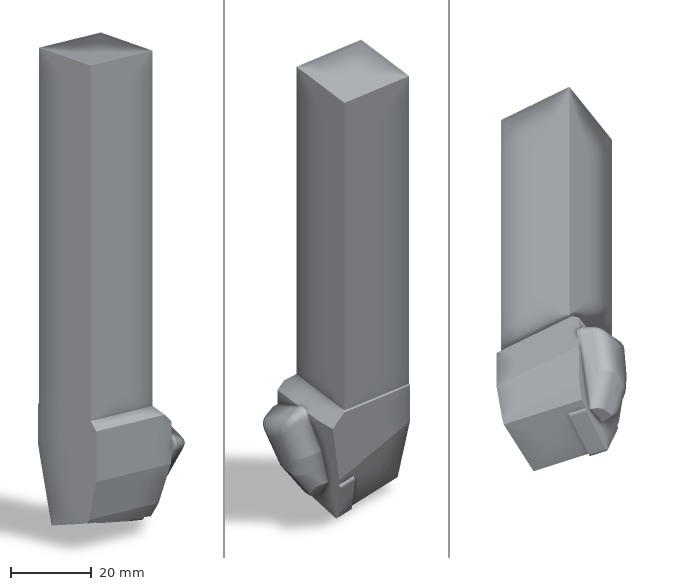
import cadquery as cq
import math


shank_size = 20.0
tool_top_z = 126.35
head_left_x = -0.35
head_right_x = 22.2
head_bottom_z = -2.0
shoulder_z = 34.05
crest_y = 24.25

side_angle = 15.0
side_start_z = 18.7
side_end_z = 8.2
bevel_end_x = 17.06
bevel_end_z = 4.15

lead_angle = 15.0
rake_angle = 6.0
corner_x = 2.80
corner_y = 20.22
corner_z = -0.18

insert_size = 12.7
insert_thickness = 4.76
insert_corner_radius = 0.8
insert_overhang = 0.7

clamp_height = 6.6
clamp_band = 0.5
clamp_foot_depth = 2.0
clamp_draft = 16.0
clamp_corner_radius = 2.58
clamp_rim_radius = 4.2
clamp_back_left = (10.1, 31.3)
clamp_back_right = (24.2, 24.5)
clamp_nose_right = (13.2, 4.7)
clamp_nose_middle = (7.3, 5.8)
clamp_nose_left = (4.3, 10.9)
clamp_side_left = (5.5, 20.2)
nose_slope_y = 29.3
nose_slope_z = 13.6
nose_slope_angle = 31.0
nose_overrun_z = 2.5

cutter_size = 60.0

rake_slope = math.tan(math.radians(rake_angle))
lead = math.radians(lead_angle)
slope_x = rake_slope * (math.cos(lead) - math.sin(lead))
slope_z = rake_slope * (math.cos(lead) + math.sin(lead))
inward = cq.Vector(slope_x, -1, slope_z).normalized()
level_line = cq.Vector(slope_z, 0, -slope_x).normalized()
insert_diagonal = inward.cross(level_line)

rake_plane = cq.Plane(
    origin=(corner_x, corner_y, corner_z),
    xDir=(insert_diagonal + level_line).toTuple(),
    normal=inward.toTuple(),
)


def make_shank():
    shank = cq.Workplane("XY", origin=(0, 0, shoulder_z))
    return shank.box(shank_size, shank_size, tool_top_z - shoulder_z, centered=False)


def make_head():
    """Block with 45 degree shoulders, trimmed by the rake plane and the two flanks."""
    side_end_x = head_right_x - (side_start_z - side_end_z) * math.tan(math.radians(side_angle))
    front_outline = [
        (head_left_x, shoulder_z + head_left_x),
        (0, shoulder_z),
        (shank_size, shoulder_z),
        (head_right_x, shoulder_z + shank_size - head_right_x),
        (head_right_x, side_start_z),
        (side_end_x, side_end_z),
        (bevel_end_x, bevel_end_z),
        (bevel_end_x, head_bottom_z),
        (head_left_x, head_bottom_z),
    ]
    side_outline = [
        (0, head_bottom_z),
        (crest_y, head_bottom_z),
        (crest_y, shoulder_z + shank_size - crest_y),
        (shank_size, shoulder_z),
        (0, shoulder_z),
    ]
    front_prism = cq.Workplane("XZ").polyline(front_outline).close().extrude(-crest_y)
    side_prism = cq.Workplane("YZ").polyline(side_outline).close().extrude(cutter_size, both=True)
    flanks = (
        cq.Workplane(rake_plane)
        .move(insert_overhang, insert_overhang)
        .rect(cutter_size, cutter_size, centered=False)
        .extrude(cutter_size)
    )
    return front_prism.intersect(side_prism).intersect(flanks)


def make_insert():
    return (
        cq.Workplane(rake_plane)
        .rect(insert_size, insert_size, centered=False)
        .extrude(insert_thickness)
        .edges(cq.selectors.ParallelDirSelector(inward))
        .fillet(insert_corner_radius)
    )


def on_rake_plane(x, z):
    """Local coordinates of the rake plane point at a given X and Z."""
    y = corner_y + slope_x * (x - corner_x) + slope_z * (z - corner_z)
    return rake_plane.toLocalCoords(cq.Vector(x, y, z)).toTuple()[:2]


def extend_to_level(start, end, z):
    """Point at a given Z on the line through two (X, Z) points."""
    run = (end[0] - start[0]) / (end[1] - start[1])
    return (end[0] + (z - end[1]) * run, z)


def extrude_outline(corners, height, draft=0.0, lift=0.0):
    """Prism out of the head from a lifted outline, with the two corners at the shank end rounded."""
    points = [on_rake_plane(x, z) for x, z in corners]
    wire = cq.Workplane(rake_plane).polyline(points).close().val()
    back_corners = sorted(wire.Vertices(), key=lambda vertex: vertex.Z)[-2:]
    outline = wire.fillet2D(clamp_corner_radius, back_corners).translate(inward * -lift)
    return cq.Workplane(rake_plane).add(outline).toPending().extrude(-height, taper=draft)


def make_clamp_foot(outline):
    """Straight-sided foot of the clamp, filled down to the crest of the head."""
    band = extrude_outline(outline, clamp_band)
    filling = extrude_outline(outline, -clamp_foot_depth)
    above_crest = (
        cq.Workplane("XZ", origin=(0, crest_y, 0))
        .rect(2 * cutter_size, 2 * cutter_size)
        .extrude(-cutter_size)
    )
    return band.union(filling.intersect(above_crest))


def make_clamp_body(outline):
    """Drafted body with a sloping nose; its rounded rim runs out at the nose end faces."""
    long_outline = [
        clamp_back_left,
        clamp_back_right,
        extend_to_level(clamp_back_right, clamp_nose_right, nose_overrun_z),
        extend_to_level(clamp_side_left, clamp_nose_left, nose_overrun_z),
        clamp_side_left,
    ]
    body_height = clamp_height - clamp_band
    body = extrude_outline(long_outline, body_height, clamp_draft, clamp_band)

    slope_angle = math.radians(nose_slope_angle)
    slope_normal = cq.Vector(0, math.cos(slope_angle), -math.sin(slope_angle))
    slope_plane = cq.Plane(
        origin=(0, nose_slope_y, nose_slope_z), xDir=(1, 0, 0), normal=slope_normal.toTuple()
    )
    above_slope = cq.Workplane(slope_plane).rect(2 * cutter_size, 2 * cutter_size).extrude(cutter_size)
    body = body.cut(above_slope)

    top_face = body.faces(cq.selectors.ParallelDirSelector(inward)).faces(">Y").val()
    slope_face = body.faces(cq.selectors.ParallelDirSelector(slope_normal)).val()
    edges = top_face.Edges() + slope_face.Edges()
    rim = [edge for edge in edges if sum(edge.isSame(other) for other in edges) == 1]
    rim.remove(min(rim, key=lambda edge: edge.Center().z))
    body = body.newObject(rim).fillet(clamp_rim_radius)

    nose_limits = extrude_outline(outline, body_height, clamp_draft, clamp_band)
    return body.intersect(nose_limits)


def make_clamp():
    outline = [
        clamp_back_left,
        clamp_back_right,
        clamp_nose_right,
        clamp_nose_middle,
        clamp_nose_left,
        clamp_side_left,
    ]
    return make_clamp_foot(outline).union(make_clamp_body(outline))


def make_holder(insert):
    """Shank, head and clamp in one solid, with a seat that fits the insert."""
    return make_shank().union(make_head()).cut(insert).union(make_clamp())


insert = make_insert()
holder = make_holder(insert)
result = cq.Compound.makeCompound([holder.val(), insert.val()])